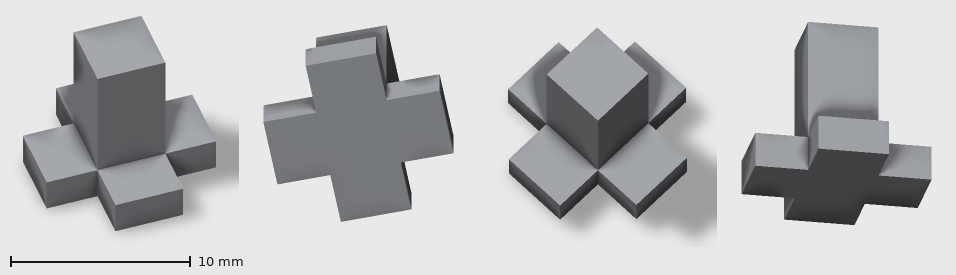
import cadquery as cq

span = 10.0
arm_width = 4.0
base_height = 2.0
total_height = 9.0


def block(size_x, size_y, height):
    """Box centred on the Z axis, standing on the XY plane."""
    return cq.Workplane("XY").box(size_x, size_y, height, centered=(True, True, False))


base = block(span, arm_width, base_height).union(block(arm_width, span, base_height))

post = block(arm_width, arm_width, total_height)

result = base.union(post)